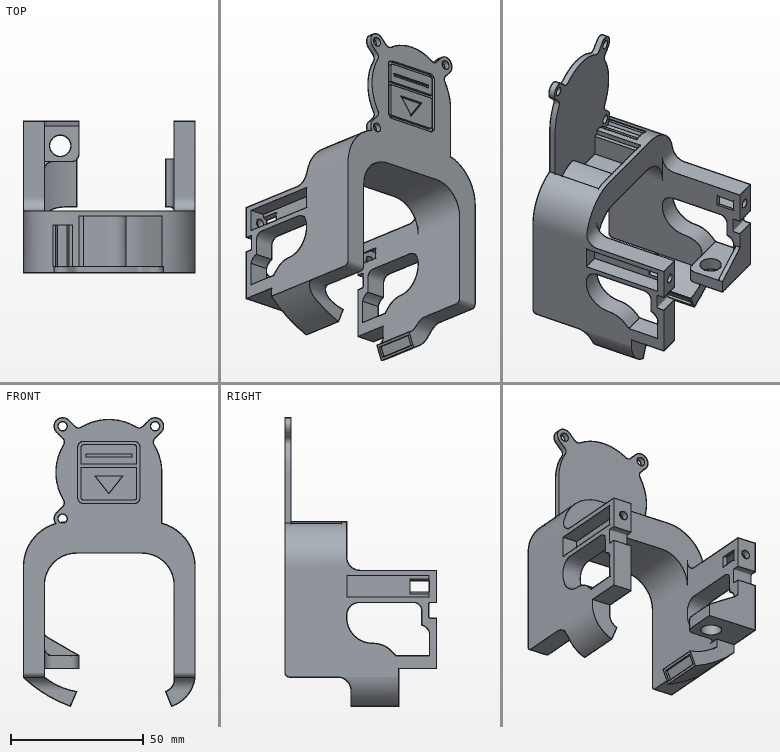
import cadquery as cq
import math

half_width = 32.5
depth = 57.45
leg_thickness = 8.0
leg_inner = half_width - leg_thickness
leg_bottom = 11.0
arch_top = 69.9
arch_underside = 57.95
arch_depth = 23.45
outer_radius = 17.0
inner_radius = 12.0

arm_top = 51.5
arm_bottom = 14.3
arm_fillet = 5.0
notch_floor = 54.5
notch_radius = 0.5
notch_bottom = 33.4
notch_top = 39.3

hook_front = 25.0
hook_back = 43.2
hook_fillet = 5.0
toe_radius = 1.8
hook_tip_height = 5.6
left_hook_outer_mid = (-25.3, 5.3)
left_hook_inner_mid = (-19.6, 7.9)
right_hook_outer_mid = (30.1, 4.8)
right_hook_inner_mid = (23.7, 7.4)
left_tip_inner = -12.3
left_tip_outer = -14.7
right_tip_inner = 21.3
right_tip_outer = 23.6
tip_recess_rim = 1.0
tip_recess_depth = 1.0

plate_thickness = 2.4
fan_x = -0.15
fan_radius = 20.1
fan_hole_pitch = 35.0
ear_radius = 3.25
fan_hole_diameter = 3.4
ear_fillet = 2.0
overall_height = 109.28
fan_z = overall_height - ear_radius - fan_hole_pitch / 2

label_size = 23.6
label_radius = 2.3
label_depth = 1.0
label_groove = 1.3
label_divider_z = fan_z + 2.6
panel_radius = 1.0
slot_length = 17.4
slot_height = 1.1
slot_z = fan_z + 6.4
triangle_width = 10.6
triangle_top = fan_z - 1.3
triangle_height = 6.7

duct_left = -11.4
duct_ledge_end = -9.8
duct_ramp_start = -0.8
duct_rib_left = 6.4
duct_rib_right = 7.5
duct_slope_start = 13.7
duct_right = 20.0
duct_back = 21.5
duct_floor = 59.8
duct_ledge = 68.0
duct_slope_angle = math.radians(30)
small_left = -21.3
small_floor_left = -19.6
small_floor_right = -16.0
small_wall_lean = 0.7
small_right = -13.9
small_back = 18.2
small_floor = 67.4
small_left_ledge = 68.5
small_right_ledge = 69.5

slot_front = arch_depth
slot_back = 54.6
slot_bottom = 41.3
slot_top = 49.5
slot_depth = 6.2
window_front = 47.4
window_margin_outer = 1.3
window_margin_inner = 2.0
screw_hole_x = 28.0
screw_hole_diameter = 3.4

opening_back = 54.7
opening_step = 51.75
opening_floor = 19.2
opening_step_radius = 4.0
opening_step_top = 30.7
opening_step_bottom = 27.9
opening_ledge = 23.9
opening_corner_back = 3.0
opening_corner_front = 4.8
opening_bottom_radius = 9.7
opening_shoulder_radius = 10.0
opening_slope_angle = math.radians(45)

bracket_end = -11.4
bracket_front = 42.1
bracket_corner = 3.0
bracket_hole_x = -18.55
bracket_hole_y = 48.1
bracket_hole_diameter = 8.0
gusset_thickness = 1.85
gusset_root_x = -22.9
gusset_top = 27.2
gusset_angle = math.radians(30)


def box(x0, x1, y0, y1, z0, z1):
    """Axis-aligned box between two opposite corners."""
    return cq.Workplane("XY").box(x1 - x0, y1 - y0, z1 - z0, centered=False).translate((x0, y0, z0))


def along_y(y_start):
    """X-Z sketch plane at y_start; a negative extrusion goes towards +Y."""
    return cq.Workplane("XZ", origin=(0, y_start, 0))


def along_x(x_start):
    """Y-Z sketch plane at x_start; a positive extrusion goes towards +X."""
    return cq.Workplane("YZ", origin=(x_start, 0, 0))


def both_sides(shape):
    """The shape together with its mirror image in the Y-Z plane."""
    return shape.union(shape.mirror("YZ"))


def make_frame():
    """Arch, legs and hooks: the front outline trimmed by the side outline."""
    arc_mid = math.sqrt(0.5)
    outer_mid_x = half_width - outer_radius * (1 - arc_mid)
    outer_mid_z = arch_top - outer_radius * (1 - arc_mid)
    inner_mid_x = leg_inner - inner_radius * (1 - arc_mid)
    inner_mid_z = arch_underside - inner_radius * (1 - arc_mid)
    front = (
        along_y(0)
        .moveTo(-half_width, leg_bottom)
        .lineTo(-half_width, arch_top - outer_radius)
        .threePointArc((-outer_mid_x, outer_mid_z), (outer_radius - half_width, arch_top))
        .lineTo(half_width - outer_radius, arch_top)
        .threePointArc((outer_mid_x, outer_mid_z), (half_width, arch_top - outer_radius))
        .lineTo(half_width, leg_bottom)
        .threePointArc(right_hook_outer_mid, (right_tip_outer, 0))
        .lineTo(right_tip_inner, hook_tip_height)
        .threePointArc(right_hook_inner_mid, (leg_inner, leg_bottom))
        .lineTo(leg_inner, arch_underside - inner_radius)
        .threePointArc((inner_mid_x, inner_mid_z), (leg_inner - inner_radius, arch_underside))
        .lineTo(inner_radius - leg_inner, arch_underside)
        .threePointArc((-inner_mid_x, inner_mid_z), (-leg_inner, arch_underside - inner_radius))
        .lineTo(-leg_inner, leg_bottom)
        .threePointArc(left_hook_inner_mid, (left_tip_inner, hook_tip_height))
        .lineTo(left_tip_outer, 0)
        .threePointArc(left_hook_outer_mid, (-half_width, leg_bottom))
        .close()
        .extrude(-depth)
    )
    side = (
        along_x(-half_width)
        .moveTo(0, leg_bottom + toe_radius)
        .lineTo(0, arch_top)
        .lineTo(arch_depth, arch_top)
        .lineTo(arch_depth, arm_top + arm_fillet)
        .radiusArc((arch_depth + arm_fillet, arm_top), -arm_fillet)
        .lineTo(depth, arm_top)
        .lineTo(depth, notch_top)
        .lineTo(notch_floor + notch_radius, notch_top)
        .radiusArc((notch_floor, notch_top - notch_radius), -notch_radius)
        .lineTo(notch_floor, notch_bottom + notch_radius)
        .radiusArc((notch_floor + notch_radius, notch_bottom), -notch_radius)
        .lineTo(depth, notch_bottom)
        .lineTo(depth, arm_bottom)
        .lineTo(hook_back, arm_bottom)
        .lineTo(hook_back, 0)
        .lineTo(hook_front, 0)
        .lineTo(hook_front, leg_bottom - hook_fillet)
        .radiusArc((hook_front - hook_fillet, leg_bottom), -hook_fillet)
        .lineTo(toe_radius, leg_bottom)
        .radiusArc((0, leg_bottom + toe_radius), toe_radius)
        .close()
        .extrude(2 * half_width)
    )
    behind_arch = box(-leg_inner, leg_inner, arch_depth, depth, arch_underside - inner_radius, arch_top)
    return front.intersect(side).cut(behind_arch)


def make_fan_plate():
    """Round plate with three screw ears, blended down into the arch."""
    reach = fan_hole_pitch / 2
    ears = [(fan_x - reach, fan_z + reach), (fan_x + reach, fan_z + reach), (fan_x - reach, fan_z - reach)]
    plate = along_y(0).center(fan_x, fan_z).circle(fan_radius).extrude(-plate_thickness)
    for x, z in ears:
        angle = math.degrees(math.atan2(z - fan_z, x - fan_x))
        length = reach * math.sqrt(2)
        arm = (
            along_y(0)
            .center(fan_x, fan_z)
            .transformed(rotate=(0, 0, angle))
            .center(length / 2, 0)
            .rect(length, 2 * ear_radius)
            .extrude(-plate_thickness)
        )
        ear = along_y(0).center(x, z).circle(ear_radius).extrude(-plate_thickness)
        plate = plate.union(arm).union(ear)

    along = math.sqrt(fan_radius**2 - ear_radius**2)
    near = (along - ear_radius) / math.sqrt(2)
    far = (along + ear_radius) / math.sqrt(2)
    corners = [(-near, far), (-far, near), (near, far), (far, near), (-far, -near)]
    for dx, dz in corners:
        corner = cq.selectors.NearestToPointSelector((fan_x + dx, plate_thickness / 2, fan_z + dz))
        plate = plate.edges(corner).fillet(ear_fillet)

    skirt_left = fan_x - reach + ear_radius
    left_skirt = box(skirt_left, fan_x, 0, plate_thickness, arch_underside, fan_z - far)
    right_skirt = box(fan_x, fan_x + fan_radius, 0, plate_thickness, arch_underside, fan_z)
    plate = plate.union(left_skirt).union(right_skirt)
    holes = along_y(0).pushPoints(ears).circle(fan_hole_diameter / 2).extrude(-plate_thickness)
    return plate, holes


def make_label():
    """Grooves around two flush panels, with a bar slot and an arrow sunk into the panels."""
    panel_width = label_size - 2 * label_groove
    recess = along_y(0).center(fan_x, fan_z).rect(label_size, label_size).extrude(-label_depth)
    recess = recess.edges("|Y").fillet(label_radius)
    panels = along_y(0).center(fan_x, fan_z).rect(panel_width, panel_width).extrude(-label_depth)
    panels = panels.edges("|Y").fillet(panel_radius)
    divider = along_y(0).center(fan_x, label_divider_z).rect(panel_width, label_groove).extrude(-label_depth)
    bar = along_y(0).center(fan_x, slot_z).rect(slot_length, slot_height).extrude(-label_depth)
    arrow = (
        along_y(0)
        .moveTo(fan_x - triangle_width / 2, triangle_top)
        .lineTo(fan_x + triangle_width / 2, triangle_top)
        .lineTo(fan_x, triangle_top - triangle_height)
        .close()
        .extrude(-label_depth)
    )
    return recess.cut(panels).union(divider).union(bar).union(arrow)


def make_duct():
    """Pocket behind the fan plate: flat floor, curved ramp, narrow rib and falling slope."""
    ramp_radius = duct_rib_left - duct_ramp_start
    rib_top = duct_floor + ramp_radius
    curve_radius = (duct_slope_start - duct_rib_right) / math.sin(duct_slope_angle)
    slope_top = rib_top - curve_radius * (1 - math.cos(duct_slope_angle))
    slope_bottom = slope_top - (duct_right - duct_slope_start) * math.tan(duct_slope_angle)
    return (
        along_y(plate_thickness)
        .moveTo(duct_left, arch_top)
        .lineTo(duct_left, duct_ledge)
        .lineTo(duct_ledge_end, duct_ledge)
        .lineTo(duct_ledge_end, duct_floor)
        .lineTo(duct_ramp_start, duct_floor)
        .radiusArc((duct_rib_left, rib_top), -ramp_radius)
        .lineTo(duct_rib_right, rib_top)
        .radiusArc((duct_slope_start, slope_top), curve_radius)
        .lineTo(duct_right, slope_bottom)
        .lineTo(duct_right, arch_top)
        .close()
        .extrude(plate_thickness - duct_back)
    )


def make_small_pocket():
    """Stepped pocket beside the duct, below the lower fan screw."""
    return (
        along_y(plate_thickness)
        .moveTo(small_left, arch_top)
        .lineTo(small_left, small_left_ledge)
        .lineTo(small_floor_left - small_wall_lean, small_left_ledge)
        .lineTo(small_floor_left, small_floor)
        .lineTo(small_floor_right, small_floor)
        .lineTo(small_floor_right + small_wall_lean, small_right_ledge)
        .lineTo(small_right, small_right_ledge)
        .lineTo(small_right, arch_top)
        .close()
        .extrude(plate_thickness - small_back)
    )


def make_arm_slot():
    """Left arm: slot from outside, tapered window to the inside and a screw hole in the end wall."""
    slot_floor = slot_depth - half_width
    slot = box(-half_width, slot_floor, slot_front, slot_back, slot_bottom, slot_top)
    window = (
        along_y(window_front)
        .moveTo(slot_floor, slot_bottom + window_margin_outer)
        .lineTo(-leg_inner, slot_bottom + window_margin_inner)
        .lineTo(-leg_inner, slot_top - window_margin_inner)
        .lineTo(slot_floor, slot_top - window_margin_outer)
        .close()
        .extrude(window_front - slot_back)
    )
    screw_hole = (
        along_y(slot_back)
        .center(-screw_hole_x, (slot_bottom + slot_top) / 2)
        .circle(screw_hole_diameter / 2)
        .extrude(slot_back - depth)
    )
    return slot.union(window).union(screw_hole)


def make_side_opening():
    """Large curved opening that passes along X through both legs and above the bracket floor."""
    bottom_center_y = arch_depth + opening_bottom_radius
    bottom_center_z = opening_ledge + opening_bottom_radius
    shoulder_fall = opening_shoulder_radius * (1 - math.cos(opening_slope_angle))
    shoulder_z = opening_ledge - shoulder_fall
    shoulder_y = bracket_front - (shoulder_z - opening_floor) / math.tan(opening_slope_angle)
    ledge_y = shoulder_y - opening_shoulder_radius * math.sin(opening_slope_angle)
    return (
        along_x(-half_width)
        .moveTo(bracket_front, opening_floor)
        .lineTo(opening_back, opening_floor)
        .lineTo(opening_back, opening_step_bottom)
        .radiusArc((opening_step, opening_step_top), -opening_step_radius)
        .lineTo(opening_step, notch_top - opening_corner_back)
        .radiusArc((opening_step - opening_corner_back, notch_top), -opening_corner_back)
        .lineTo(arch_depth + opening_corner_front, notch_top)
        .radiusArc((arch_depth, notch_top - opening_corner_front), -opening_corner_front)
        .lineTo(arch_depth, bottom_center_z)
        .radiusArc((bottom_center_y, opening_ledge), -opening_bottom_radius)
        .lineTo(ledge_y, opening_ledge)
        .radiusArc((shoulder_y, shoulder_z), opening_shoulder_radius)
        .close()
        .extrude(2 * half_width)
    )


def make_bracket():
    """Shelf on the left leg with a rear gusset wall and a blended front root."""
    root_front = bracket_front - bracket_corner
    shelf = (
        cq.Workplane("XY", origin=(0, 0, arm_bottom))
        .moveTo(-leg_inner, root_front)
        .radiusArc((-leg_inner + bracket_corner, bracket_front), bracket_corner)
        .lineTo(bracket_end - bracket_corner, bracket_front)
        .radiusArc((bracket_end, bracket_front + bracket_corner), -bracket_corner)
        .lineTo(bracket_end, depth)
        .lineTo(-leg_inner, depth)
        .close()
        .extrude(gusset_top - arm_bottom)
    )
    slope_rise = (bracket_end - gusset_root_x) * math.tan(gusset_angle)
    outline = (
        along_y(root_front)
        .moveTo(-leg_inner, arm_bottom)
        .lineTo(bracket_end, arm_bottom)
        .lineTo(bracket_end, opening_floor)
        .lineTo(gusset_root_x, opening_floor + slope_rise)
        .tangentArcPoint((-leg_inner, gusset_top), relative=False)
        .close()
        .extrude(root_front - depth)
    )
    above_shelf = box(
        -leg_inner, bracket_end, bracket_front, depth - gusset_thickness, opening_floor, gusset_top
    )
    return shelf.intersect(outline).cut(above_shelf)


def make_bracket_hole():
    """Vertical through hole in the bracket shelf."""
    return (
        cq.Workplane("XY", origin=(0, 0, arm_bottom))
        .center(bracket_hole_x, bracket_hole_y)
        .circle(bracket_hole_diameter / 2)
        .extrude(opening_floor - arm_bottom)
    )


def make_tip_recess(inner_x, outer_x):
    """Shallow rectangular recess in the slanted end face of a hook."""
    face_length = math.hypot(outer_x - inner_x, hook_tip_height)
    tilt = math.degrees(math.atan2(outer_x - inner_x, hook_tip_height))
    recess = cq.Workplane("XY").box(
        2 * tip_recess_depth,
        hook_back - hook_front - 2 * tip_recess_rim,
        face_length - 2 * tip_recess_rim,
    )
    middle = ((inner_x + outer_x) / 2, (hook_front + hook_back) / 2, hook_tip_height / 2)
    return recess.rotate((0, 0, 0), (0, 1, 0), -tilt).translate(middle)


fan_plate, fan_holes = make_fan_plate()

result = make_frame().union(make_bracket()).union(fan_plate)
result = result.cut(fan_holes).cut(make_label())
result = result.cut(make_duct()).cut(make_small_pocket())
result = result.cut(both_sides(make_arm_slot()))
result = result.cut(make_side_opening())
result = result.cut(make_bracket_hole())
result = result.cut(make_tip_recess(left_tip_inner, left_tip_outer))
result = result.cut(make_tip_recess(right_tip_inner, right_tip_outer))